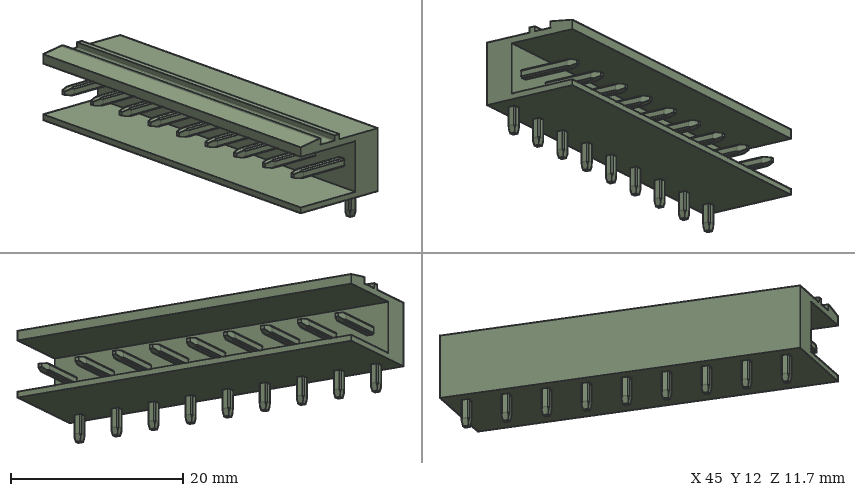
import cadquery as cq

length = 45.0
depth = 12.0
height = 7.75
overall_height = 11.7
top_wall = 0.8
bottom_wall = 0.7
back_wall = 3.5

rib_back = 6.05
rib_width = 0.75
rib_height = 0.65
rib_foot_radius = 0.1

hook_top = 8.5
hook_depth = 3.1
hook_flat = 0.3
hook_front = 8.1

pin_count = 9
pin_pitch = length / pin_count
pin_width = 1.05
pin_chamfer = 0.2
contact_z = 3.8
contact_tip_y = 0.95
contact_taper = 1.2
contact_end = 0.45
tail_y = 9.95
tail_tip_z = hook_top - overall_height
tail_taper = 0.95
tail_end = 0.65


def make_housing_block():
    """C-shaped profile with the rib and the latch hook, extruded along X."""
    rib_front = rib_back - rib_width
    rib_top = height + rib_height
    profile = [
        (0, 0),
        (depth, 0),
        (depth, height),
        (rib_back, height),
        (rib_back, rib_top),
        (rib_front, rib_top),
        (rib_front, height),
        (hook_depth, height),
        (hook_depth, hook_top),
        (hook_depth - hook_flat, hook_top),
        (0, hook_front),
        (0, height - top_wall),
        (depth - back_wall, height - top_wall),
        (depth - back_wall, bottom_wall),
        (0, bottom_wall),
    ]
    block = cq.Workplane("YZ").polyline(profile).close().extrude(length)
    for foot_y in (rib_back, rib_front):
        foot_edge = cq.selectors.NearestToPointSelector((length / 2, foot_y, height))
        block = block.edges(foot_edge).fillet(rib_foot_radius)
    return block


def make_leg(leg_length, taper_length, end_width):
    """Straight pin leg along +Z, with its mitred root at the origin and its long side toward +Y."""
    half = pin_width / 2
    bar = (
        cq.Workplane("XY", origin=(0, 0, -half))
        .rect(pin_width, pin_width)
        .extrude(half + leg_length)
        .edges("|Z")
        .chamfer(pin_chamfer)
    )
    straight_length = leg_length - taper_length
    straight = (
        cq.Workplane("XY", origin=(0, 0, -half))
        .rect(pin_width, pin_width)
        .extrude(half + straight_length)
    )
    taper = (
        cq.Workplane("XY", origin=(0, 0, straight_length))
        .rect(pin_width, pin_width)
        .workplane(offset=taper_length)
        .rect(end_width, end_width)
        .loft()
    )
    mitre = (
        cq.Workplane("YZ", origin=(-half, 0, 0))
        .polyline([(-half, half), (half, -half), (half, leg_length), (-half, leg_length)])
        .close()
        .extrude(pin_width)
    )
    return bar.intersect(straight.union(taper)).intersect(mitre)


def make_pin(x):
    """Pin with a forward contact leg and a downward tail, mitred together at the bend."""
    contact = make_leg(tail_y - contact_tip_y, contact_taper, contact_end)
    contact = contact.rotate((0, 0, 0), (1, 0, 0), 90)
    tail = make_leg(contact_z - tail_tip_z, tail_taper, tail_end)
    tail = tail.rotate((0, 0, 0), (0, 1, 0), 180)
    return contact.union(tail).translate((x, tail_y, contact_z))


pins = [make_pin((index + 0.5) * pin_pitch) for index in range(pin_count)]

housing = make_housing_block()
for pin in pins:
    housing = housing.cut(pin)

result = cq.Compound.makeCompound([housing.solids().val(), *[pin.solids().val() for pin in pins]])